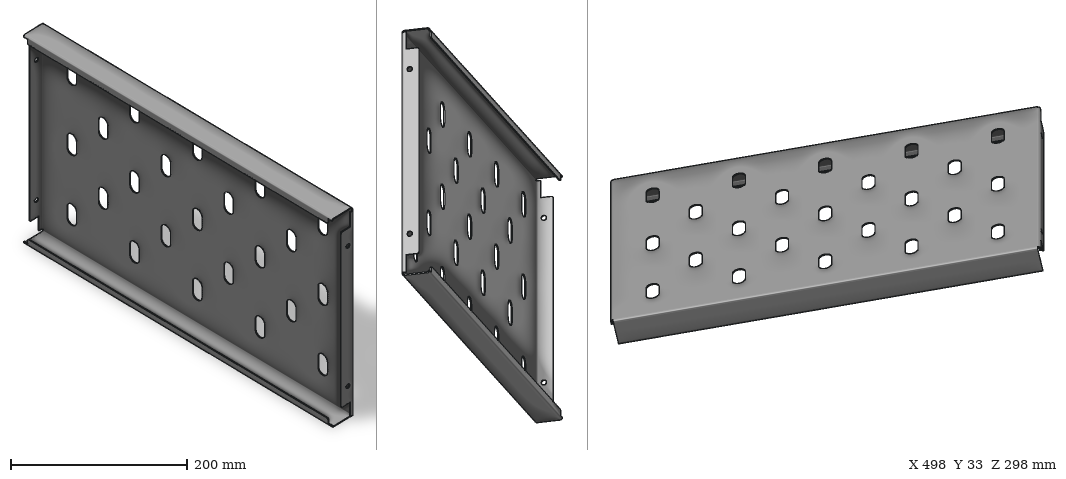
import cadquery as cq

length = 498.0
depth = 33.0
height = 298.0

thickness = 1.5
bend_inner = 1.5
bend_outer = bend_inner + thickness

flat_length = length - 2 * bend_outer
flat_height = height - 2 * bend_outer

corner_relief = 0.1
flange_length = flat_length - 2 * corner_relief
flange_height = flat_height - 2 * corner_relief

lip_height = 10.0
lip_length = 479.0

strip_depth = 6.0
side_depth = 21.0
side_height = 250.0

side_hole_diameter = 6.0
side_hole_spacing = 200.0
side_hole_depth = 10.0

corner_radius = 2.0

slot_columns = 5
slot_rows = 3
slot_width = 15.0
slot_height = 30.0
slot_pitch = 100.0



def make_bend(plane, width):
    """Quarter-ring bend about the origin, swept by width along the plane's normal."""
    ring = cq.Workplane(plane).circle(bend_outer).circle(bend_inner).extrude(width)
    quadrant = cq.Workplane(plane).rect(bend_outer, bend_outer, centered=False).extrude(width)
    return ring.intersect(quadrant)


def box_between(low, high):
    """Box spanning two opposite corner points."""
    size = [b - a for a, b in zip(low, high)]
    return cq.Workplane("XY").box(*size, centered=False).translate(low)


def make_panel():
    """Flat of the back panel, before the slots are cut."""
    return box_between(
        (-flat_length / 2, -thickness, -flat_height / 2),
        (flat_length / 2, 0, flat_height / 2),
    )


def make_long_flange():
    """Top flange with its back bend, front bend and downturned lip."""
    half_length = flange_length / 2
    top = height / 2
    bend_z = top - bend_outer
    front_bend_y = -depth + bend_outer
    web = box_between(
        (-half_length, front_bend_y, top - thickness),
        (half_length, -bend_outer, top),
    )
    bend = make_bend("YZ", flange_length)
    back_bend = bend.translate((-half_length, -bend_outer, bend_z))
    front_bend = bend.mirror("XZ").translate((-half_length, front_bend_y, bend_z))
    lip = box_between(
        (-lip_length / 2, -depth, top - lip_height),
        (lip_length / 2, -depth + thickness, bend_z),
    )
    lip = lip.edges("|Y and <Z").fillet(corner_radius)
    return web.union(back_bend).union(front_bend).union(lip)


def make_side_flange():
    """Flange at the +X end with its bend and two holes."""
    end = length / 2
    bend_corner = (end - bend_outer, -bend_outer, -flange_height / 2)
    bend = make_bend("XY", flange_height).translate(bend_corner)
    strip = box_between(
        (end - thickness, -strip_depth, -flange_height / 2),
        (end, -bend_outer, flange_height / 2),
    )
    middle = box_between(
        (end - thickness, -side_depth, -side_height / 2),
        (end, -bend_outer, side_height / 2),
    )
    middle = middle.edges("|X and <Y").fillet(corner_radius)
    holes = (
        cq.Workplane("YZ", origin=(end - thickness, -side_hole_depth, 0))
        .rarray(1, side_hole_spacing, 1, 2)
        .circle(side_hole_diameter / 2)
        .extrude(thickness)
    )
    return bend.union(strip).union(middle).cut(holes)


def make_slot_grid(columns, rows):
    """Cutters for a centred grid of upright slots."""
    grid = cq.Workplane("XZ").rarray(slot_pitch, slot_pitch, columns, rows)
    return grid.slot2D(slot_height, slot_width, 90).extrude(thickness)


long_flange = make_long_flange()
side_flange = make_side_flange()

result = (
    make_panel()
    .union(long_flange)
    .union(long_flange.mirror("XY"))
    .union(side_flange)
    .union(side_flange.mirror("YZ"))
    .cut(make_slot_grid(slot_columns, slot_rows))
    .cut(make_slot_grid(slot_columns - 1, slot_rows - 1))
)